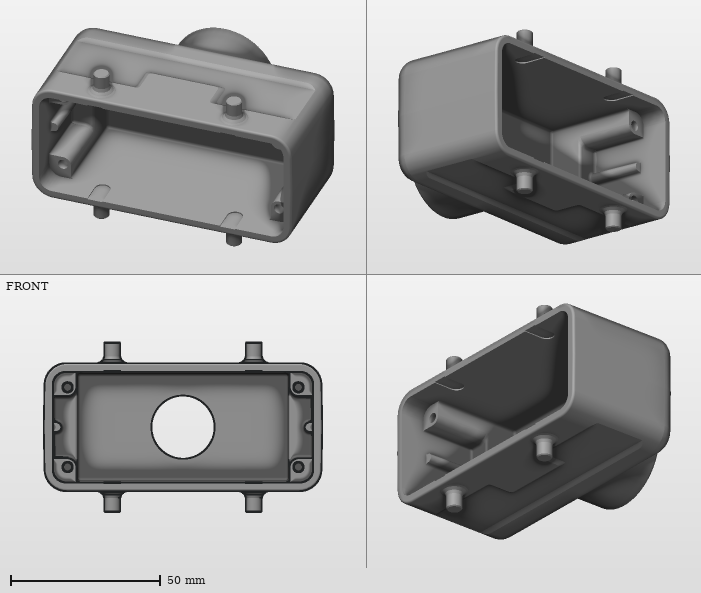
import cadquery as cq
import math


length = 93.5
height = 43.0
body_depth = 45.0
corner_radius = 7.5
back_radius = 5.2
rim_radius = 0.8
draft = 1.0

total_depth = 61.0
neck_radius = 18.6
neck_edge_radius = 1.0
neck_base_radius = 0.8
bore_radius = 10.6

cavity_length = 87.5
cavity_height = 37.2
cavity_corner_radius = 4.5
cavity_depth = 42.1
floor_radius = 0.9
shelf_depth = 29.9

boss_x = 38.7
boss_z = 13.4
boss_radius = 2.9
boss_front = 9.2
boss_side_radius = 0.9
boss_end_radius = 0.6
screw_hole_radius = 1.8
screw_hole_depth = 18.7

post_x = 42.45
post_radius = 1.6
post_front = 10.3
post_foot_radius = 0.8

pin_x = 23.75
pin_y = 6.3
pin_radius = 2.7
pin_span = 57.0
pin_edge_chamfer = 0.4
collar_radius = 2.8
collar_top_z = 23.5
collar_lead_in = 0.3
cone_top_radius = 3.1
cone_top_z = 22.6
cone_base_radius = 4.0
cone_base_z = 21.8
foot_radius = 4.8
slot_floor_z = 18.9
slot_end_y = 7.1

panel_depth = 1.0
panel_slope_run = 1.8
panel_front = 13.7
panel_back = 33.1
tongue_width = 28.6
tongue_back = 23.75
tongue_corner_radius = 2.8

overlap = 0.9
tolerance = 0.01
end_block_length = length / 2
post_corner = 0.99 * post_radius
post_foot_reach = 2.15
edge_reach = 1.4

half_height = height / 2
draft_slope = math.tan(math.radians(draft))
well_half_length = boss_x - boss_radius
quadrants = [(sx, sz) for sx in (-1, 1) for sz in (-1, 1)]


def across(y):
    """Workplane at depth y, facing +Y (its own second axis points to -Z)."""
    return cq.Workplane(cq.Plane(origin=(0, y, 0), xDir=(1, 0, 0), normal=(0, 1, 0)))


def make_shell():
    """Rounded block whose end faces lean in from the middle plane."""
    crest = length / 2
    edge = crest - half_height * draft_slope
    block = (
        across(0)
        .polyline([
            (crest, 0),
            (edge, half_height),
            (-edge, half_height),
            (-crest, 0),
            (-edge, -half_height),
            (edge, -half_height),
        ])
        .close()
        .extrude(body_depth)
    )
    block = block.faces(">Z or <Z").edges("|Y").fillet(corner_radius)
    return block.faces(">Y").edges().fillet(back_radius).faces("<Y").edges().fillet(rim_radius)


def add_neck(body):
    """Round neck on the back, blended into the body."""
    neck_start = body_depth - back_radius
    neck = across(neck_start).circle(neck_radius).extrude(total_depth - neck_start)
    neck = neck.faces(">Y").edges().fillet(neck_edge_radius)
    body = body.union(neck)
    base = cq.selectors.BoxSelector(
        (-neck_radius - overlap, neck_start + overlap, -neck_radius - overlap),
        (neck_radius + overlap, body_depth + overlap, neck_radius + overlap),
        boundingbox=True,
    )
    return body.edges(base).fillet(neck_base_radius)


def around(x, y, z, reach):
    """Selector for edges whose middle lies within reach of a point."""
    return cq.selectors.BoxSelector(
        (x - reach, y - reach, z - reach),
        (x + reach, y + reach, z + reach),
    )


def edges_at_depth(solid, y):
    """All edges lying in the plane at depth y."""
    plane_slice = cq.selectors.BoxSelector(
        (-length, y - tolerance, -height),
        (length, y + tolerance, height),
        boundingbox=True,
    )
    return solid.edges(plane_slice)


def rounded_block(y, x, z, size_x, size_z, corner, depth, taper):
    """Drafted block with round corners, centred on (x, z) and running back from depth y."""
    return (
        across(y)
        .center(x, -z)
        .sketch()
        .rect(size_x, size_z)
        .vertices()
        .fillet(corner)
        .finalize()
        .extrude(depth, taper=taper)
    )


def cut_shelves(cavity):
    """Fill the deep part of each cavity end, flush with the drafted boss sides."""
    shelf_edge = well_half_length - draft_slope * (shelf_depth - boss_front)
    for side in (-1, 1):
        shelf = (
            across(shelf_depth)
            .center(side * (shelf_edge + end_block_length / 2), 0)
            .rect(end_block_length, height)
            .extrude(cavity_depth, taper=-draft)
        )
        cavity = cavity.cut(shelf)
    return cavity


def cut_bosses(cavity):
    """Corner bosses, grown outward past the cavity walls."""
    block_x = well_half_length + end_block_length / 2
    block_z = boss_z - boss_radius + end_block_length / 2
    for sx, sz in quadrants:
        boss = rounded_block(
            y=boss_front,
            x=sx * block_x,
            z=sz * block_z,
            size_x=end_block_length,
            size_z=end_block_length,
            corner=boss_radius,
            depth=cavity_depth,
            taper=-draft,
        )
        cavity = cavity.cut(boss)
    return cavity


def cut_posts(cavity):
    """D-shaped posts standing on the shelves, with rounded feet."""
    block_x = post_x - post_radius + end_block_length / 2
    for side in (-1, 1):
        post = rounded_block(
            y=post_front,
            x=side * block_x,
            z=0,
            size_x=end_block_length,
            size_z=2 * post_radius,
            corner=post_corner,
            depth=shelf_depth + overlap - post_front,
            taper=-draft,
        )
        cavity = cavity.cut(post)
    foot = cavity.edges(around(-post_x, shelf_depth, 0, post_foot_reach))
    foot = foot.add(cavity.edges(around(post_x, shelf_depth, 0, post_foot_reach)))
    return foot.fillet(post_foot_radius)


def make_cavity():
    """Drafted hollow: a deep middle well and a shallower shelf at each end between the bosses."""
    cavity = rounded_block(
        y=0,
        x=0,
        z=0,
        size_x=cavity_length,
        size_z=cavity_height,
        corner=cavity_corner_radius,
        depth=cavity_depth,
        taper=draft,
    )
    cavity = cut_bosses(cut_shelves(cavity))

    boss_mid_depth = (boss_front + cavity_depth) / 2
    for sx, sz in quadrants:
        side_edge = around(sx * well_half_length, boss_mid_depth, sz * cavity_height / 2, edge_reach)
        cavity = cavity.edges(side_edge).fillet(boss_side_radius)

    floor_edges = edges_at_depth(cavity, cavity_depth)
    cavity = floor_edges.add(edges_at_depth(cavity, shelf_depth)).fillet(floor_radius)

    shelf_mid_depth = (boss_front + shelf_depth) / 2
    for sx, sz in quadrants:
        end_edge = around(sx * cavity_length / 2, shelf_mid_depth, sz * (boss_z - boss_radius), edge_reach)
        cavity = cavity.edges(end_edge).fillet(boss_end_radius)
    return cut_posts(cavity)


def make_screw_holes():
    """Drafted blind holes in the boss fronts."""
    tip_radius = screw_hole_radius - screw_hole_depth * draft_slope
    profile = (
        cq.Workplane("XY")
        .polyline([
            (0, boss_front),
            (screw_hole_radius, boss_front),
            (tip_radius, boss_front + screw_hole_depth),
            (0, boss_front + screw_hole_depth),
        ])
        .close()
        .revolve(360, (0, 0, 0), (0, 1, 0))
    )
    holes = cq.Workplane()
    for sx, sz in quadrants:
        holes = holes.add(profile.translate((sx * boss_x, 0, sz * boss_z)))
    return holes.combine()


def make_pin():
    """Upper pin on the Z axis: stepped shaft on a conical foot with a flared base."""
    tip_z = pin_span / 2
    foot_z = slot_floor_z + overlap
    return (
        cq.Workplane("XZ")
        .moveTo(0, foot_z)
        .lineTo(foot_radius, foot_z)
        .lineTo(foot_radius, half_height)
        .lineTo(cone_base_radius, cone_base_z)
        .lineTo(cone_top_radius, cone_top_z)
        .lineTo(collar_radius, collar_top_z)
        .lineTo(pin_radius, collar_top_z + collar_lead_in)
        .lineTo(pin_radius, tip_z - pin_edge_chamfer)
        .lineTo(pin_radius - pin_edge_chamfer, tip_z)
        .lineTo(0, tip_z)
        .close()
        .revolve(360, (0, 0, 0), (0, 1, 0))
    )


def make_slot():
    """Round-ended groove in the upper cavity wall, running in from the mouth."""
    return (
        cq.Workplane("XY")
        .moveTo(-pin_radius, 0)
        .lineTo(pin_radius, 0)
        .lineTo(pin_radius, slot_end_y)
        .threePointArc((0, slot_end_y + pin_radius), (-pin_radius, slot_end_y))
        .close()
        .extrude(slot_floor_z)
    )


def make_panel():
    """Cutter for the upper recess: sloping front and back walls around a raised tongue."""
    floor_z = half_height - panel_depth
    strip = (
        cq.Workplane("YZ", origin=(-length, 0, 0))
        .polyline([
            (panel_front, floor_z),
            (panel_back, floor_z),
            (panel_back + panel_slope_run, half_height),
            (panel_front - panel_slope_run, half_height),
        ])
        .close()
        .extrude(2 * length)
    )
    wall_angle = math.degrees(math.atan2(panel_slope_run, panel_depth))
    tongue_front = panel_front - 2 * panel_slope_run - overlap
    tongue = (
        cq.Workplane("XY", origin=(0, (tongue_front + tongue_back) / 2, floor_z))
        .rect(tongue_width, tongue_back - tongue_front)
        .extrude(panel_depth, taper=wall_angle)
    )
    panel = strip.cut(tongue)
    near_tongue = cq.selectors.BoxSelector(
        (-tongue_width, panel_front - panel_slope_run - overlap, floor_z + tolerance),
        (tongue_width, tongue_back + overlap, half_height - tolerance),
    )
    return panel.edges(near_tongue).fillet(tongue_corner_radius)


result = add_neck(make_shell())
result = result.cut(make_cavity())
panel = make_panel()
result = result.cut(panel).cut(panel.mirror("XY"))
for sx, sz in quadrants:
    pin = make_pin().translate((sx * pin_x, pin_y, 0))
    slot = make_slot().translate((sx * pin_x, 0, 0))
    if sz < 0:
        pin = pin.mirror("XY")
        slot = slot.mirror("XY")
    result = result.union(pin).cut(slot)
result = result.cut(make_screw_holes())
result = result.cut(across(0).circle(bore_radius).extrude(total_depth))